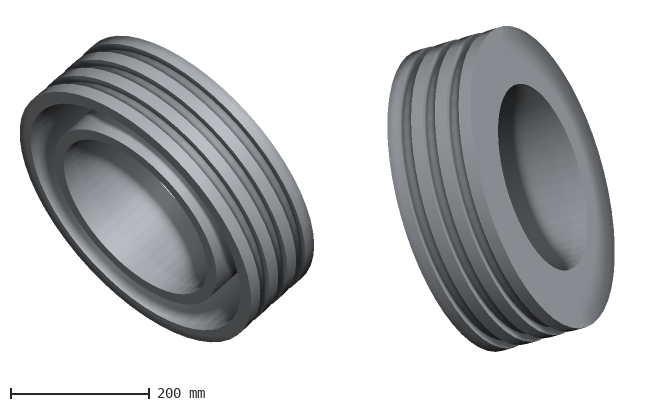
import cadquery as cq

width = 135.0
rim_diameter = 450.0
groove_diameter = 427.5
recess_outer_diameter = 407.0
hub_diameter = 315.0
bore_diameter = 278.0
groove_count = 3
web_thickness = 10.0

band_width = width / (2 * groove_count + 1)
front_y = -width / 2
recess_depth = width - web_thickness


def ring(outer_diameter, inner_diameter, start_y, length):
    """Ring around the Y axis that runs from start_y toward +Y."""
    return (
        cq.Workplane("XZ", origin=(0, start_y, 0))
        .circle(outer_diameter / 2)
        .circle(inner_diameter / 2)
        .extrude(-length)
    )


def cut_rim_grooves(body):
    """Cut the rectangular grooves around the rim."""
    for index in range(groove_count):
        groove_y = front_y + (2 * index + 1) * band_width
        body = body.cut(ring(rim_diameter, groove_diameter, groove_y, band_width))
    return body


def cut_front_recess(body):
    """Cut the annular recess between hub and rim from the -Y face."""
    return body.cut(ring(recess_outer_diameter, hub_diameter, front_y, recess_depth))


body = ring(rim_diameter, bore_diameter, front_y, width)
body = cut_rim_grooves(body)
result = cut_front_recess(body)